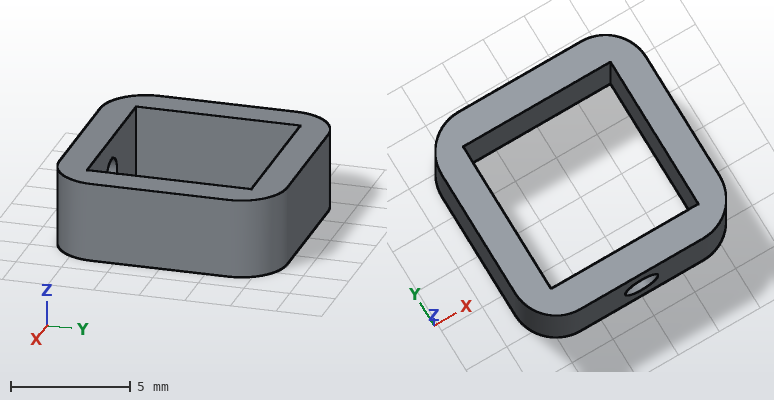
import cadquery as cq

outer_side = 10.0
height = 3.5
corner_radius = 2.0
window_side = 7.2
wall = (outer_side - window_side) / 2

hole_diameter = 1.6


def make_ring():
    body = cq.Workplane("XY").box(outer_side, outer_side, height)
    body = body.edges("|Z").fillet(corner_radius)
    window = cq.Workplane("XY").box(window_side, window_side, height)
    return body.cut(window)


def make_wall_hole():
    front_face = cq.Workplane("XZ", origin=(0, -outer_side / 2, 0))
    return front_face.circle(hole_diameter / 2).extrude(-wall)


result = make_ring().cut(make_wall_hole())